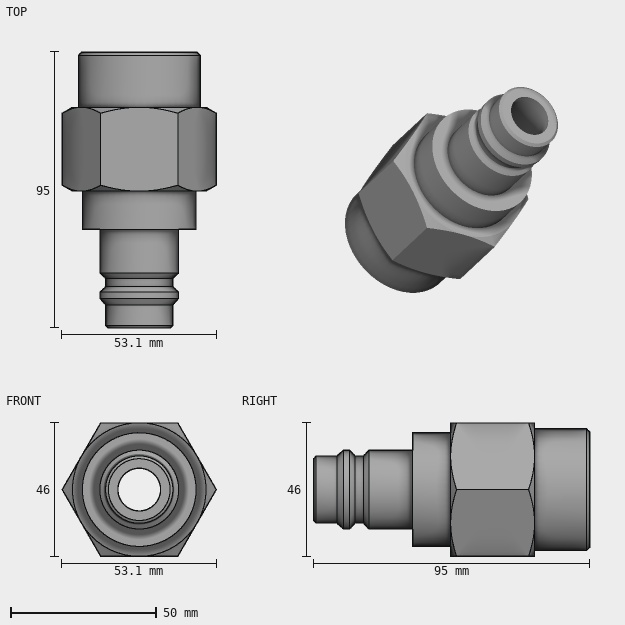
import cadquery as cq
import math

tip_chamfer_end = 0.9
ring_start = 8.0
ring_crest_start = 10.3
ring_crest_end = 12.35
ring_end = 14.25
groove_end = 17.1
shank_start = 19.0
shoulder_start = 34.0
hex_start = 47.1
hex_end = 76.0
length = 95.0

bore_radius = 7.3
tip_face_radius = 10.6
tip_radius = 11.6
shank_radius = 13.6
shoulder_radius = 19.6
socket_radius = 21.0
socket_chamfer = 1.1
hex_across_flats = 46.0
hex_flat_radius = hex_across_flats / 2
hex_corner_radius = hex_flat_radius / math.cos(math.radians(30))
hex_chamfer_angle = 30.0


def revolve_about_y(profile):
    """Turn a closed (radius, y) profile about the Y axis."""
    return cq.Workplane("XY").polyline(profile).close().revolve(360, (0, 0, 0), (0, 1, 0))


def turned_body():
    """Plug, shoulder and rear socket as one stepped shaft."""
    return revolve_about_y([
        (0, 0),
        (tip_face_radius, 0),
        (tip_radius, tip_chamfer_end),
        (tip_radius, ring_start),
        (shank_radius, ring_crest_start),
        (shank_radius, ring_crest_end),
        (tip_radius, ring_end),
        (tip_radius, groove_end),
        (shank_radius, shank_start),
        (shank_radius, shoulder_start),
        (shoulder_radius, shoulder_start),
        (shoulder_radius, hex_start),
        (socket_radius, hex_start),
        (socket_radius, length - socket_chamfer),
        (socket_radius - socket_chamfer, length),
        (0, length),
    ])


def chamfered_hex():
    """Hexagon with corners on the X axis, both ends trimmed by cones."""
    prism = (
        cq.Workplane("XZ", origin=(0, hex_end, 0))
        .polygon(6, 2 * hex_corner_radius)
        .extrude(hex_end - hex_start)
    )
    chamfer_depth = (hex_corner_radius - hex_flat_radius) * math.tan(math.radians(hex_chamfer_angle))
    trimming_envelope = revolve_about_y([
        (0, hex_start),
        (hex_flat_radius, hex_start),
        (hex_corner_radius, hex_start + chamfer_depth),
        (hex_corner_radius, hex_end - chamfer_depth),
        (hex_flat_radius, hex_end),
        (0, hex_end),
    ])
    return prism.intersect(trimming_envelope)


bore = cq.Workplane("XZ").circle(bore_radius).extrude(-length)

result = turned_body().union(chamfered_hex()).cut(bore)